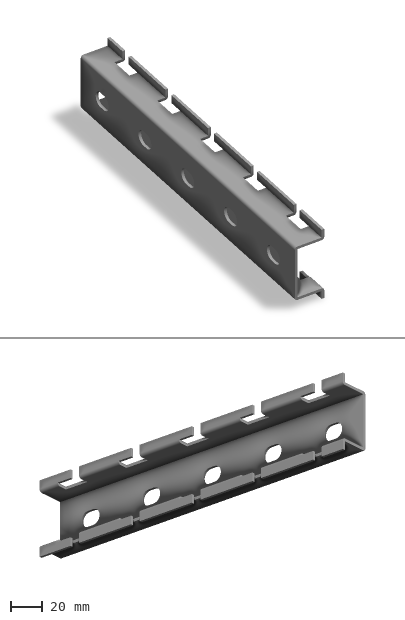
import cadquery as cq

length = 250.0
depth = 22.0
overall_height = 53.0

thickness = 2.0
channel_height = 41.0
bend_radius = thickness

pitch = 50.0
station_count = 5

hole_length = 15.0
hole_width = 11.0

notch_length = 17.5
notch_depth = 8.0
entry_width = 7.0

half_channel = channel_height / 2
half_overall = overall_height / 2
inner_half = half_channel - thickness
lip_height = half_overall - inner_half
lip_front = depth - thickness
station_centers = [pitch * (i + 0.5) for i in range(station_count)]


def block(x_start, y_start, z_start, x_size, y_size, z_size):
    """Box placed by its lowest corner."""
    return cq.Workplane("XY").box(x_size, y_size, z_size, centered=False).translate((x_start, y_start, z_start))


def folded_channel():
    """Hat channel with its web at Y = 0 and outward lips at the back."""
    upper_half = [
        (0, half_channel),
        (lip_front, half_channel),
        (lip_front, half_overall),
        (depth, half_overall),
        (depth, inner_half),
        (thickness, inner_half),
    ]
    lower_half = [(y, -z) for y, z in reversed(upper_half)]
    channel = cq.Workplane("YZ").polyline(upper_half + lower_half).close().extrude(length)

    for side in (-1, 1):
        web_corner = (length / 2, 0, side * half_channel)
        lip_corner = (length / 2, depth, side * inner_half)
        for corner in (web_corner, lip_corner):
            channel = channel.edges(cq.selectors.NearestToPointSelector(corner)).fillet(bend_radius)
    return channel


def web_holes():
    """Obround cutters, long along X, passing through the web only."""
    return (
        cq.Workplane("XZ")
        .pushPoints([(x, 0) for x in station_centers])
        .slot2D(hole_length, hole_width)
        .extrude(-2 * thickness)
    )


def hook_notch(center, side):
    """Slot across one flange, running under the lip, with a narrower entry through the lip at its low-X end."""
    start = center - hole_length / 2
    flange_z = inner_half if side > 0 else -half_channel
    entry_z = inner_half if side > 0 else -half_overall
    flange_slot = block(start, depth - notch_depth, flange_z, notch_length, notch_depth, thickness)
    lip_entry = block(start, lip_front, entry_z, entry_width, thickness, lip_height)
    return flange_slot.union(lip_entry)


result = folded_channel().cut(web_holes())
for station in station_centers:
    for flange_side in (-1, 1):
        result = result.cut(hook_notch(station, flange_side))